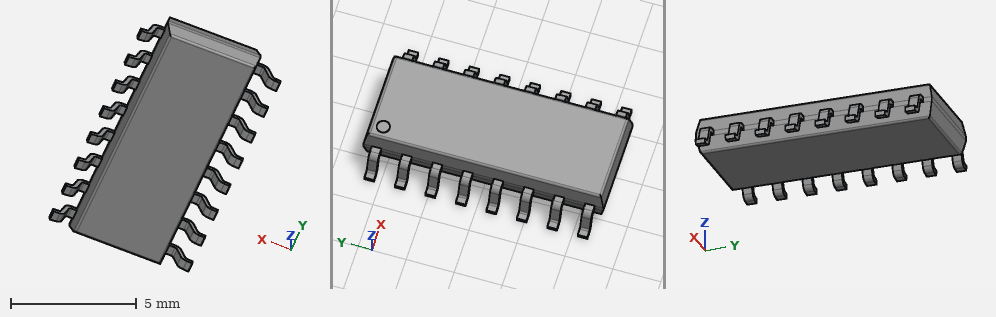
import cadquery as cq
import math

BODY_WIDTH = 4.0
BODY_LENGTH = 10.0
BODY_BOTTOM = 0.15
BODY_TOP = 1.65
DRAFT_ANGLE = 12.0
EDGE_FILLET = 0.1

LEADS_PER_SIDE = 8
LEAD_PITCH = 1.27
LEAD_WIDTH = 0.4
LEAD_THICKNESS = 0.2
LEAD_CENTRE_Z = 0.9
LEAD_SPAN = 6.06
SHOULDER_X = 2.24
INNER_BEND_RADIUS = 0.1
SHANK_ANGLE = math.radians(71)
FOOT_ANGLE = math.radians(8)
LEAD_EMBED = 0.3

MARK_DIAMETER = 0.53
MARK_X = -1.36
MARK_Y = 4.36
MARK_DEPTH = 0.02

HALF_THICKNESS = LEAD_THICKNESS / 2
BEND_RADIUS = INNER_BEND_RADIUS + HALF_THICKNESS
BAND_BOTTOM = LEAD_CENTRE_Z - HALF_THICKNESS
BAND_TOP = LEAD_CENTRE_Z + HALF_THICKNESS


def make_body():
    """Straight parting band with a drafted, edge-rounded half above and below it."""
    band = (
        cq.Workplane("XY", origin=(0, 0, BAND_BOTTOM))
        .rect(BODY_WIDTH, BODY_LENGTH)
        .extrude(LEAD_THICKNESS)
    )
    upper = (
        cq.Workplane("XY", origin=(0, 0, BAND_TOP))
        .rect(BODY_WIDTH, BODY_LENGTH)
        .extrude(BODY_TOP - BAND_TOP, taper=DRAFT_ANGLE)
        .faces(">Z")
        .fillet(EDGE_FILLET)
    )
    lower = (
        cq.Workplane("XY", origin=(0, 0, BAND_BOTTOM))
        .rect(BODY_WIDTH, BODY_LENGTH)
        .extrude(BODY_BOTTOM - BAND_BOTTOM, taper=DRAFT_ANGLE)
        .faces("<Z")
        .fillet(EDGE_FILLET)
    )
    return band.union(upper).union(lower)


def offset_point(centre, radius, slope):
    """Point at a signed radius from a bend centre where the lead has the given slope."""
    return (centre[0] + radius * math.sin(slope), centre[1] + radius * math.cos(slope))


def lead_profile():
    """Closed XZ outline of the +X lead, from inside the body to the tilted foot tip."""
    root_x = BODY_WIDTH / 2 - LEAD_EMBED
    outer_radius = INNER_BEND_RADIUS + LEAD_THICKNESS

    tip_top = (LEAD_SPAN / 2, LEAD_THICKNESS * math.cos(FOOT_ANGLE))
    tip_bottom = (tip_top[0] - LEAD_THICKNESS * math.sin(FOOT_ANGLE), 0)

    upper_centre = (SHOULDER_X, LEAD_CENTRE_Z - BEND_RADIUS)
    shank_start = offset_point(upper_centre, BEND_RADIUS, SHANK_ANGLE)
    tip_middle = ((tip_top[0] + tip_bottom[0]) / 2, tip_top[1] / 2)
    bend_run = BEND_RADIUS * (math.sin(SHANK_ANGLE) - math.sin(FOOT_ANGLE))
    bend_drop = BEND_RADIUS * (math.cos(FOOT_ANGLE) - math.cos(SHANK_ANGLE))
    run = tip_middle[0] - shank_start[0] - bend_run
    drop = shank_start[1] - tip_middle[1] - bend_drop
    shank_length = (drop * math.cos(FOOT_ANGLE) - run * math.sin(FOOT_ANGLE)) / math.sin(
        SHANK_ANGLE - FOOT_ANGLE
    )
    shank_end = (
        shank_start[0] + shank_length * math.cos(SHANK_ANGLE),
        shank_start[1] - shank_length * math.sin(SHANK_ANGLE),
    )
    lower_centre = offset_point(shank_end, BEND_RADIUS, SHANK_ANGLE)

    upper_middle = SHANK_ANGLE / 2
    lower_middle = (SHANK_ANGLE + FOOT_ANGLE) / 2
    return (
        cq.Workplane("XZ", origin=(0, LEAD_WIDTH / 2, 0))
        .moveTo(root_x, BAND_TOP)
        .lineTo(SHOULDER_X, BAND_TOP)
        .threePointArc(
            offset_point(upper_centre, outer_radius, upper_middle),
            offset_point(upper_centre, outer_radius, SHANK_ANGLE),
        )
        .lineTo(*offset_point(lower_centre, -INNER_BEND_RADIUS, SHANK_ANGLE))
        .threePointArc(
            offset_point(lower_centre, -INNER_BEND_RADIUS, lower_middle),
            offset_point(lower_centre, -INNER_BEND_RADIUS, FOOT_ANGLE),
        )
        .lineTo(*tip_top)
        .lineTo(*tip_bottom)
        .lineTo(*offset_point(lower_centre, -outer_radius, FOOT_ANGLE))
        .threePointArc(
            offset_point(lower_centre, -outer_radius, lower_middle),
            offset_point(lower_centre, -outer_radius, SHANK_ANGLE),
        )
        .lineTo(*offset_point(upper_centre, INNER_BEND_RADIUS, SHANK_ANGLE))
        .threePointArc(
            offset_point(upper_centre, INNER_BEND_RADIUS, upper_middle),
            offset_point(upper_centre, INNER_BEND_RADIUS, 0),
        )
        .lineTo(root_x, BAND_BOTTOM)
        .close()
    )


def add_leads(body):
    """Join a mirrored pair of leads to the body at every pitch position."""
    right_lead = lead_profile().extrude(LEAD_WIDTH)
    left_lead = right_lead.mirror("YZ")
    first_y = -LEAD_PITCH * (LEADS_PER_SIDE - 1) / 2
    for index in range(LEADS_PER_SIDE):
        shift = (0, first_y + index * LEAD_PITCH, 0)
        body = body.union(right_lead.translate(shift)).union(left_lead.translate(shift))
    return body


def cut_pin_mark(part):
    """Shallow round dimple in the top face beside pin 1."""
    mark = (
        cq.Workplane("XY", origin=(MARK_X, MARK_Y, BODY_TOP - MARK_DEPTH))
        .circle(MARK_DIAMETER / 2)
        .extrude(MARK_DEPTH)
    )
    return part.cut(mark)


result = cut_pin_mark(add_leads(make_body()))